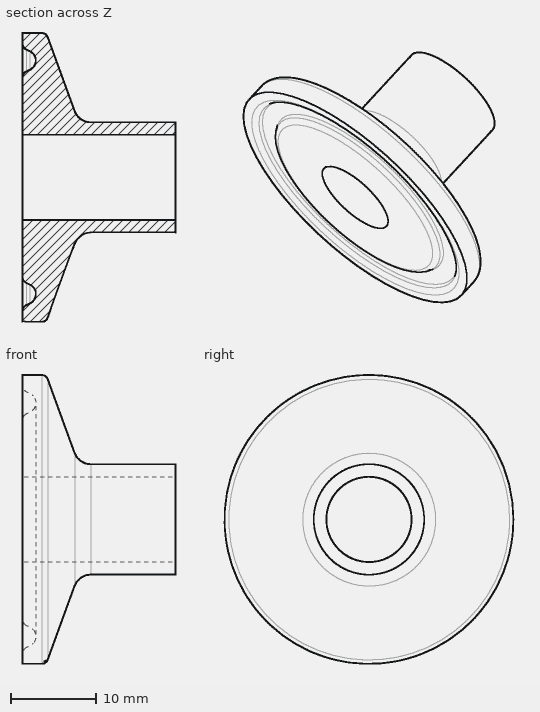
import cadquery as cq
import math

total_length = 18.0
flange_diameter = 34.0
tube_diameter = 13.0
bore_diameter = 10.0

rim_thickness = 2.8
cone_angle = math.radians(20)
rim_round = 0.75
neck_round = 2.0

groove_mean_radius = 13.75
groove_half_width = 2.0
groove_wall_angle = math.radians(65)
groove_lip_round = 0.8
groove_floor_round = 1.2

flange_radius = flange_diameter / 2
tube_radius = tube_diameter / 2
bore_radius = bore_diameter / 2


def make_body():
    """Flange, cone and tube as one turned solid, with the bore through it."""
    cone_end = rim_thickness + (flange_radius - tube_radius) * math.tan(cone_angle)
    body = (
        cq.Workplane("XY")
        .moveTo(0, bore_radius)
        .lineTo(0, flange_radius)
        .lineTo(rim_thickness, flange_radius)
        .lineTo(cone_end, tube_radius)
        .lineTo(total_length, tube_radius)
        .lineTo(total_length, bore_radius)
        .close()
        .revolve(360, (0, 0, 0), (1, 0, 0))
    )
    body = round_circle_at(body, rim_thickness, rim_round)
    return round_circle_at(body, cone_end, neck_round)


def round_circle_at(body, x, radius):
    """Fillet the circular edge that lies in the plane at the given X."""
    half_band = 0.01
    reach = flange_diameter
    band = cq.selectors.BoxSelector((x - half_band, -reach, -reach), (x + half_band, reach, reach))
    return body.edges(band).fillet(radius)


def make_groove():
    """Ring cutter: rounded lips, short sloping walls and a round floor, all tangent."""
    sine = math.sin(groove_wall_angle)
    cosine = math.cos(groove_wall_angle)
    half_sine = math.sin(groove_wall_angle / 2)
    half_cosine = math.cos(groove_wall_angle / 2)

    lip_start = (0, groove_half_width)
    lip_middle = (groove_lip_round * (1 - half_cosine), groove_half_width - groove_lip_round * half_sine)
    lip_end = (groove_lip_round * (1 - cosine), groove_half_width - groove_lip_round * sine)
    wall_width = lip_end[1] - groove_floor_round * sine
    wall_end = (lip_end[0] + wall_width * math.tan(groove_wall_angle), lip_end[1] - wall_width)
    floor_middle = (wall_end[0] + groove_floor_round * (1 - cosine), 0)

    def place(point, side):
        depth, offset = point
        return (depth, groove_mean_radius + side * offset)

    return (
        cq.Workplane("XY")
        .moveTo(*place(lip_start, 1))
        .threePointArc(place(lip_middle, 1), place(lip_end, 1))
        .lineTo(*place(wall_end, 1))
        .threePointArc(place(floor_middle, 1), place(wall_end, -1))
        .lineTo(*place(lip_end, -1))
        .threePointArc(place(lip_middle, -1), place(lip_start, -1))
        .close()
        .revolve(360, (0, 0, 0), (1, 0, 0))
    )


result = make_body().cut(make_groove())